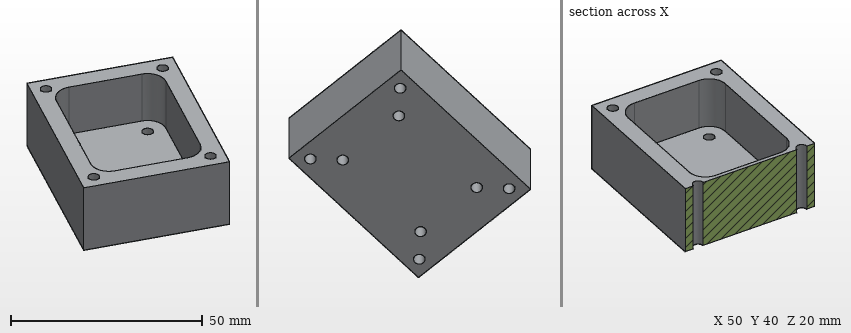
import cadquery as cq

length = 50.0
width = 40.0
height = 20.0

wall = 5.0
floor_thickness = 5.0
pocket_corner_radius = 5.0
pocket_length = length - 2 * wall
pocket_width = width - 2 * wall
pocket_depth = height - floor_thickness

hole_diameter = 3.0
rim_hole_inset = 4.0
floor_hole_inset = 5.0


def drill_corner_holes(body, outline_length, outline_width, inset):
    """Drill a through hole near each corner of a centred rectangle."""
    return (
        body.faces("<Z")
        .workplane(origin=(0, 0, 0))
        .rect(outline_length - 2 * inset, outline_width - 2 * inset, forConstruction=True)
        .vertices()
        .hole(hole_diameter)
    )


def make_pocket():
    """Rounded rectangular volume removed from the top of the block."""
    return (
        cq.Workplane("XY")
        .workplane(offset=floor_thickness)
        .rect(pocket_length, pocket_width)
        .extrude(pocket_depth)
        .edges("|Z")
        .fillet(pocket_corner_radius)
    )


block = cq.Workplane("XY").box(length, width, height, centered=(True, True, False))
tray = block.cut(make_pocket())
tray = drill_corner_holes(tray, length, width, rim_hole_inset)
result = drill_corner_holes(tray, pocket_length, pocket_width, floor_hole_inset)